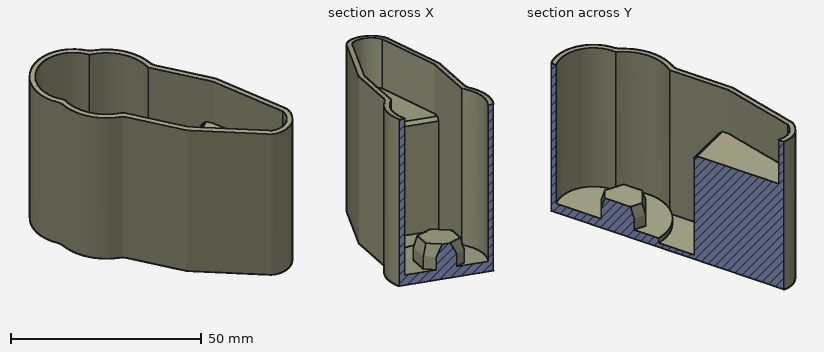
import cadquery as cq
import math

length = 72.2
height = 47.5
wall = 1.5

end_radius = 11.55
hub_radius = 14.45
tip_radius = 6.65
end_x = end_radius
hub_x = 20.7
tip_x = length - tip_radius
taper_x = 47.15
taper_angle = math.radians(15)
blend_radius = 4.0

body_floor_z = wall
hub_floor_z = 2 * wall

shelf_x = 44.0
shelf_depth = 14.0
shelf_z = height - shelf_depth
shelf_chamfer = 1.0

post_flats = 11.7
post_base_height = 3.6
post_head_height = 3.4
post_draft = 15.0


def prism(inset, bottom, top):
    """Plan outline drawn in by inset, between two heights, with sharp corners."""
    half_width = end_radius - inset
    tip = tip_radius - inset
    bend_x = taper_x - inset * math.tan(taper_angle / 2)

    gap = half_width * math.cos(taper_angle) - (tip_x - bend_x) * math.sin(taper_angle)
    reach = math.sqrt(tip**2 - gap**2)
    meet_x = tip_x + gap * math.sin(taper_angle) + reach * math.cos(taper_angle)
    meet_y = gap * math.cos(taper_angle) - reach * math.sin(taper_angle)

    body = (
        cq.Workplane("XY")
        .moveTo(hub_x, half_width)
        .lineTo(bend_x, half_width)
        .lineTo(meet_x, meet_y)
        .threePointArc((tip_x + tip, 0), (meet_x, -meet_y))
        .lineTo(bend_x, -half_width)
        .lineTo(hub_x, -half_width)
        .close()
        .extrude(top - bottom)
    )
    end = cq.Workplane("XY").center(end_x, 0).circle(half_width).extrude(top - bottom)
    hub = cq.Workplane("XY").center(hub_x, 0).circle(hub_radius - inset).extrude(top - bottom)
    return body.union(end).union(hub).translate((0, 0, bottom))


def beyond(x):
    """Block covering everything past the given X, used to trim the cavity shape."""
    return cq.Workplane("XY").box(length, length, height, centered=(False, True, False)).translate((x, 0, 0))


def hub_floor():
    """Raised floor under the hub and the round end, bounded by the hub circle."""
    hub_circle = cq.Workplane("XY").center(hub_x, 0).circle(hub_radius - wall).extrude(height)
    return prism(wall, 0, hub_floor_z).cut(beyond(hub_x).cut(hub_circle))


def shelf():
    """Block in the tapered end with a chamfered front edge."""
    block = prism(wall, 0, shelf_z).intersect(beyond(shelf_x))
    return block.faces("<X").edges(">Z").chamfer(shelf_chamfer)


def post():
    """Straight hexagonal base and a narrowing head."""
    corner_diameter = post_flats / math.cos(math.pi / 6)
    base_top = hub_floor_z + post_base_height
    base = cq.Workplane("XY").center(hub_x, 0).polygon(6, corner_diameter).extrude(base_top)
    head = (
        cq.Workplane("XY", origin=(hub_x, 0, base_top))
        .polygon(6, corner_diameter)
        .extrude(post_head_height, taper=post_draft)
    )
    return base.union(head)


shell = prism(0, 0, height).edges("|Z").fillet(blend_radius)
shell = shell.cut(prism(wall, body_floor_z, height))
result = shell.union(hub_floor()).union(shelf()).union(post())